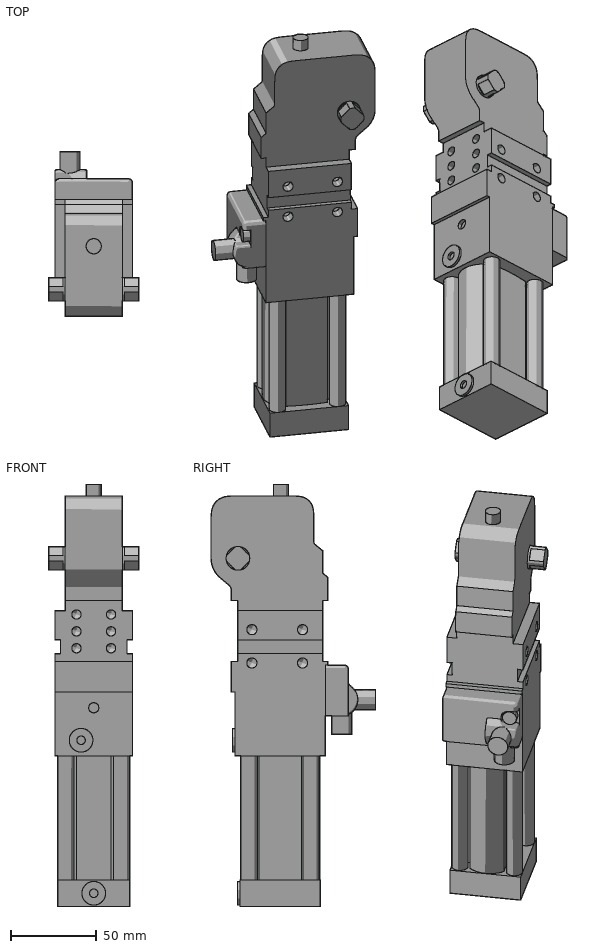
import cadquery as cq
import math

PLATE_WIDTH = 42.5
PLATE_DEPTH = 47.4
PLATE_HEIGHT = 15.5
ROD_DIA = 9.7
ROD_X = 16.4
ROD_Y = 18.0
TUBE_HALF_WIDTH = 15.0
TUBE_HALF_DEPTH = 23.3
TUBE_END_HALF_WIDTH = 10.2
TUBE_END_SHOULDER = 19.0
TUBE_NOTCH_X = 14.1
TUBE_NOTCH_Y = 12.5

BODY_WIDTH = 45.6
BODY_DEPTH = 53.0
BODY_BOTTOM = 88.5
FLANGE_FRONT = -28.8
LIP_BACK = 28.0
FLANGE_BOTTOM = 126.0
FLANGE_TOP = 144.0
NECK_DEPTH = 50.0
NECK_TOP = 173.8
SIDE_GROOVE_BOTTOM = 148.5
SIDE_GROOVE_TOP = 156.7
SIDE_GROOVE_DEPTH = 3.2

FRONT_HOLE_DIA = 5.5
FRONT_HOLE_X = 10.2
FRONT_HOLE_LOW_Z = 151.8
FRONT_HOLE_PITCH = 10.0
FRONT_HOLE_COUNT = 3
SIDE_HOLE_DIA = 6.0
SIDE_HOLE_YS = (13.1, -16.5)
SIDE_HOLE_ZS = (143.0, 162.7)
DRILL_DEPTH = 7.5
DRILL_POINT_ANGLE = 118
PORT_DIA = 6.0
PORT_DEPTH = 2.5
PORT_Z = 116.8
PLUG_DIA = 14.0
PLUG_HEIGHT = 1.5
SOCKET_DIA = 5.0
BODY_PLUG_X = -7.5
BODY_PLUG_Z = 97.7
PLATE_PLUG_Z = PLATE_HEIGHT / 2

HEAD_WIDTH = 33.7
HEAD_TOP = 241.3
HEAD_FRONT = -40.7
HEAD_BACK = 19.8
HEAD_FLANGE_BOTTOM = 179.8
HEAD_FLANGE_FRONT = FLANGE_FRONT
HEAD_FLANGE_BACK = LIP_BACK
FRONT_CORNER_SETBACK = 13.6
BACK_CORNER_SETBACK = 12.6
CORNER_BLEND_LENGTH = 4.7
CORNER_BLEND_ANGLE = 8
BACK_SLOPE_TOP = 213.3
BACK_SLOPE_BOTTOM = 209.0
BACK_SLOPE_FILLET = 2.2
BACK_BEVEL_TOP = 196.0
BACK_BEVEL_BOTTOM = 193.5
CHIN_TOP = 204.5
CHIN_RADIUS = 15.0
CHIN_ANGLE = 50
CHIN_FOOT_RADIUS = 4.2
INDICATOR_DIA = 9.0
INDICATOR_Y = 0.5
TOTAL_HEIGHT = 248.0

SHAFT_DIA = 14.0
SHAFT_LENGTH = 53.0
SHAFT_SQUARE = 12.0
SHAFT_SQUARE_LENGTH = 8.5
SHAFT_SQUARE_TURN = 45
SHAFT_Y = -24.8
SHAFT_Z = CHIN_TOP

SENSOR_BACK = 40.2
SENSOR_BOTTOM = 112.0
SENSOR_TOP = 141.9
SENSOR_FILLET = 2.5
SOCKET_BLOCK_WIDTH = 18.8
SOCKET_BLOCK_RADIUS = 9.5
SOCKET_BLOCK_FILLET = 1.2
CONNECTOR_DIA = 12.0
CONNECTOR_X = -14.0
CONNECTOR_END_Y = 56.0
CONNECTOR_Z = SENSOR_BOTTOM + SOCKET_BLOCK_RADIUS
OUTLET_Y = 36.2
SOCKET_BLOCK_BACK = OUTLET_Y + SOCKET_BLOCK_RADIUS
OUTLET_BOTTOM = 101.2
SCREW_DIA = 8.5
SCREW_X = -17.5
SCREW_SEAT_Y = 35.5
SCREW_END_Y = 39.7
POCKET_BOTTOM = 126.7
POCKET_TOP = 136.6
SCREW_Z = (POCKET_TOP + POCKET_BOTTOM) / 2


def block(width, depth, bottom, top):
    """Box centred on the Z axis between two heights."""
    return cq.Workplane("XY").workplane(offset=bottom).rect(width, depth).extrude(top - bottom)


def slab(front, back, bottom, top):
    """Box as wide as the body, between two Y positions and two heights."""
    return block(BODY_WIDTH, back - front, bottom, top).translate((0, (front + back) / 2, 0))


def cylinder(diameter, start, end):
    """Cylinder between two points."""
    axis = cq.Vector(*end) - cq.Vector(*start)
    return cq.Workplane(obj=cq.Solid.makeCylinder(diameter / 2, axis.Length, cq.Vector(*start), axis))


def drilled_hole(diameter, start, direction):
    """Blind hole with a conical drill point, as a solid to subtract."""
    radius = diameter / 2
    point_length = radius / math.tan(math.radians(DRILL_POINT_ANGLE / 2))
    origin = cq.Vector(*start)
    axis = cq.Vector(*direction)
    barrel = cq.Solid.makeCylinder(radius, DRILL_DEPTH, origin, axis)
    point = cq.Solid.makeCone(radius, 0, point_length, origin + axis * DRILL_DEPTH, axis)
    return cq.Workplane(obj=barrel.fuse(point))


def make_tube():
    """Oval piston tube with a notch beside each tie rod."""
    end_x, shoulder_y = TUBE_END_HALF_WIDTH, TUBE_END_SHOULDER
    notch_x, notch_y = TUBE_NOTCH_X, TUBE_NOTCH_Y
    outline = (
        cq.Workplane("XY").workplane(offset=PLATE_HEIGHT)
        .moveTo(-end_x, -shoulder_y)
        .threePointArc((0, -TUBE_HALF_DEPTH), (end_x, -shoulder_y))
        .lineTo(end_x, -notch_y)
        .lineTo(notch_x, -notch_y)
        .threePointArc((TUBE_HALF_WIDTH, 0), (notch_x, notch_y))
        .lineTo(end_x, notch_y)
        .lineTo(end_x, shoulder_y)
        .threePointArc((0, TUBE_HALF_DEPTH), (-end_x, shoulder_y))
        .lineTo(-end_x, notch_y)
        .lineTo(-notch_x, notch_y)
        .threePointArc((-TUBE_HALF_WIDTH, 0), (-notch_x, -notch_y))
        .lineTo(-end_x, -notch_y)
        .close()
    )
    return outline.extrude(BODY_BOTTOM - PLATE_HEIGHT)


def make_cylinder_section():
    """End plate, piston tube and four tie rods."""
    section = block(PLATE_WIDTH, PLATE_DEPTH, 0, PLATE_HEIGHT).union(make_tube())
    for x in (-ROD_X, ROD_X):
        for y in (-ROD_Y, ROD_Y):
            section = section.union(cylinder(ROD_DIA, (x, y, PLATE_HEIGHT), (x, y, BODY_BOTTOM)))
    return section


def make_body_block():
    """Body with a front flange, a rear lip over the sensor and a groove in each side."""
    body = block(BODY_WIDTH, BODY_DEPTH, BODY_BOTTOM, FLANGE_BOTTOM)
    body = body.union(slab(FLANGE_FRONT, 0, FLANGE_BOTTOM, FLANGE_TOP))
    body = body.union(slab(0, BODY_DEPTH / 2, FLANGE_BOTTOM, SENSOR_TOP))
    body = body.union(slab(0, LIP_BACK, SENSOR_TOP, FLANGE_TOP))
    body = body.union(block(BODY_WIDTH, NECK_DEPTH, FLANGE_TOP, SIDE_GROOVE_BOTTOM))
    groove_width = BODY_WIDTH - 2 * SIDE_GROOVE_DEPTH
    body = body.union(block(groove_width, NECK_DEPTH, SIDE_GROOVE_BOTTOM, SIDE_GROOVE_TOP))
    return body.union(block(BODY_WIDTH, NECK_DEPTH, SIDE_GROOVE_TOP, NECK_TOP))


def rounded_corner(outline, corner, entry, leave, setback):
    """Continue an outline round a square corner: slow blend, tighter arc, slow blend.

    entry and leave are the unit directions of travel into and out of the corner, and
    setback is the distance from the corner at which the rounding starts and ends.
    """
    angle = math.radians(CORNER_BLEND_ANGLE)
    blend_radius = CORNER_BLEND_LENGTH / math.sin(angle)

    def blend_point(share):
        """Distances along the flat and into the part, after a share of the blend's turn."""
        turn = share * angle
        return setback - blend_radius * math.sin(turn), blend_radius * (1 - math.cos(turn))

    def at(before, after):
        return (
            corner[0] - before * entry[0] + after * leave[0],
            corner[1] - before * entry[1] + after * leave[1],
        )

    def mirrored(share):
        along, inward = blend_point(share)
        return at(inward, along)

    arc_setback, sink = blend_point(1)
    arc_radius = (arc_setback - sink) / (math.cos(angle) - math.sin(angle))
    arc_centre = sink + arc_radius * math.cos(angle)
    arc_middle = arc_centre - arc_radius * math.sqrt(0.5)
    return (
        outline.lineTo(*at(setback, 0))
        .threePointArc(at(*blend_point(0.5)), at(*blend_point(1)))
        .threePointArc(at(arc_middle, arc_middle), mirrored(1))
        .threePointArc(mirrored(0.5), at(0, setback))
    )


def make_head():
    """Head plate: a YZ outline extruded across X, with the indicator pin on top."""
    half_neck = NECK_DEPTH / 2
    turn = math.radians(CHIN_ANGLE)
    half_turn = turn / 2
    foot_y = HEAD_FLANGE_FRONT - CHIN_FOOT_RADIUS * (1 - math.cos(turn))
    foot_mid_y = HEAD_FLANGE_FRONT - CHIN_FOOT_RADIUS * (1 - math.cos(half_turn))
    chin_y = HEAD_FRONT + CHIN_RADIUS * (1 - math.cos(turn))
    chin_z = CHIN_TOP - CHIN_RADIUS * math.sin(turn)
    chin_mid_y = HEAD_FRONT + CHIN_RADIUS * (1 - math.cos(half_turn))
    chin_mid_z = CHIN_TOP - CHIN_RADIUS * math.sin(half_turn)
    foot_z = chin_z - (foot_y - chin_y) / math.tan(turn)
    foot_end_z = foot_z - CHIN_FOOT_RADIUS * math.sin(turn)
    foot_mid_z = foot_end_z + CHIN_FOOT_RADIUS * math.sin(half_turn)

    outline = (
        cq.Workplane("YZ").workplane(offset=-HEAD_WIDTH / 2)
        .moveTo(half_neck, NECK_TOP)
        .lineTo(-half_neck, NECK_TOP)
        .lineTo(-half_neck, HEAD_FLANGE_BOTTOM)
        .lineTo(HEAD_FLANGE_FRONT, HEAD_FLANGE_BOTTOM)
        .lineTo(HEAD_FLANGE_FRONT, foot_end_z)
        .threePointArc((foot_mid_y, foot_mid_z), (foot_y, foot_z))
        .lineTo(chin_y, chin_z)
        .threePointArc((chin_mid_y, chin_mid_z), (HEAD_FRONT, CHIN_TOP))
    )
    outline = rounded_corner(outline, (HEAD_FRONT, HEAD_TOP), (0, 1), (1, 0), FRONT_CORNER_SETBACK)
    outline = rounded_corner(outline, (HEAD_BACK, HEAD_TOP), (1, 0), (0, -1), BACK_CORNER_SETBACK)
    outline = (
        outline.lineTo(HEAD_BACK, BACK_SLOPE_TOP)
        .lineTo(half_neck, BACK_SLOPE_BOTTOM)
        .lineTo(half_neck, BACK_BEVEL_TOP)
        .lineTo(HEAD_FLANGE_BACK, BACK_BEVEL_BOTTOM)
        .lineTo(HEAD_FLANGE_BACK, HEAD_FLANGE_BOTTOM)
        .lineTo(half_neck, HEAD_FLANGE_BOTTOM)
        .close()
    )
    pin = cylinder(INDICATOR_DIA, (0, INDICATOR_Y, HEAD_TOP), (0, INDICATOR_Y, TOTAL_HEIGHT))
    head = outline.extrude(HEAD_WIDTH)
    slope_top = cq.selectors.NearestToPointSelector((0, HEAD_BACK, BACK_SLOPE_TOP))
    return head.edges("|X").edges(slope_top).fillet(BACK_SLOPE_FILLET).union(pin)


def add_front_holes(body):
    """Two columns of blind holes in the front of the upper block."""
    for row in range(FRONT_HOLE_COUNT):
        z = FRONT_HOLE_LOW_Z + row * FRONT_HOLE_PITCH
        for x in (-FRONT_HOLE_X, FRONT_HOLE_X):
            body = body.cut(drilled_hole(FRONT_HOLE_DIA, (x, -NECK_DEPTH / 2, z), (0, 1, 0)))
    return body


def add_side_holes(body):
    """Four blind holes in each side, above and below the groove."""
    for side in (-1, 1):
        for y in SIDE_HOLE_YS:
            for z in SIDE_HOLE_ZS:
                start = (side * BODY_WIDTH / 2, y, z)
                body = body.cut(drilled_hole(SIDE_HOLE_DIA, start, (-side, 0, 0)))
    return body


def add_plug(body, x, face_y, z):
    """Raised round plug on a front face, with a socket down to that face."""
    top_y = face_y - PLUG_HEIGHT
    body = body.union(cylinder(PLUG_DIA, (x, face_y, z), (x, top_y, z)))
    return body.cut(cylinder(SOCKET_DIA, (x, top_y, z), (x, face_y, z)))


def make_housing():
    """Cylinder, body and head in one piece, with the holes, plugs and shaft bore."""
    housing = make_cylinder_section().union(make_body_block()).union(make_head())
    housing = add_side_holes(add_front_holes(housing))
    front = -BODY_DEPTH / 2
    housing = housing.cut(cylinder(PORT_DIA, (0, front, PORT_Z), (0, front + PORT_DEPTH, PORT_Z)))
    housing = add_plug(housing, BODY_PLUG_X, front, BODY_PLUG_Z)
    housing = add_plug(housing, 0, -PLATE_DEPTH / 2, PLATE_PLUG_Z)
    half_width = HEAD_WIDTH / 2
    bore = cylinder(SHAFT_DIA, (-half_width, SHAFT_Y, SHAFT_Z), (half_width, SHAFT_Y, SHAFT_Z))
    return housing.cut(bore)


def make_shaft():
    """Round shaft through the head, with a square set on its corner at each end."""
    half_length = SHAFT_LENGTH / 2
    round_end = half_length - SHAFT_SQUARE_LENGTH
    bar = cylinder(SHAFT_DIA, (-half_length, 0, 0), (half_length, 0, 0))
    square = cq.Workplane("XY").box(SHAFT_LENGTH, SHAFT_SQUARE, SHAFT_SQUARE)
    square = square.rotate((0, 0, 0), (1, 0, 0), SHAFT_SQUARE_TURN)
    middle = cylinder(SHAFT_DIA, (-round_end, 0, 0), (round_end, 0, 0))
    return bar.intersect(square).union(middle).translate((0, SHAFT_Y, SHAFT_Z))


def make_sensor_cover():
    """Cover over the back of the body, with its upper and rear outer edges rounded."""
    cover = slab(BODY_DEPTH / 2, SENSOR_BACK, SENSOR_BOTTOM, SENSOR_TOP)
    return cover.edges("(>Y and >Z) or (>Y and |Z) or (>Z and |Y)").fillet(SENSOR_FILLET)


def make_socket_block():
    """Round-backed block at the left end of the cover, bevelled down to its back."""
    radius = SOCKET_BLOCK_RADIUS
    eighth_turn = math.pi / 4
    diagonal = radius * math.cos(eighth_turn)
    bevel_start_y = OUTLET_Y + diagonal
    bevel_start_z = CONNECTOR_Z + diagonal
    bevel_end_z = bevel_start_z + bevel_start_y - SENSOR_BACK
    lower_diagonal = (OUTLET_Y + diagonal, CONNECTOR_Z - diagonal)
    upper_middle = (
        OUTLET_Y + radius * math.cos(eighth_turn / 2),
        CONNECTOR_Z + radius * math.sin(eighth_turn / 2),
    )
    outline = (
        cq.Workplane("YZ").workplane(offset=-BODY_WIDTH / 2)
        .moveTo(BODY_DEPTH / 2, SENSOR_BOTTOM)
        .lineTo(OUTLET_Y, SENSOR_BOTTOM)
        .threePointArc(lower_diagonal, (OUTLET_Y + radius, CONNECTOR_Z))
        .threePointArc(upper_middle, (bevel_start_y, bevel_start_z))
        .lineTo(SENSOR_BACK, bevel_end_z)
        .lineTo(BODY_DEPTH / 2, bevel_end_z)
        .close()
    )
    socket_block = outline.extrude(SOCKET_BLOCK_WIDTH)
    outer_edges = socket_block.faces("<X or >X").edges("not(<Y or >Z)")
    return outer_edges.fillet(SOCKET_BLOCK_FILLET)


def make_screw_pocket():
    """Slot open to the left and rear, with a half-round inner end around the screw."""
    height = POCKET_TOP - POCKET_BOTTOM
    length = SOCKET_BLOCK_BACK - SCREW_SEAT_Y
    left_width = SCREW_X + BODY_WIDTH / 2
    slot = cq.Workplane("XY").box(left_width, length, height, centered=(False, False, True))
    slot = slot.translate((-BODY_WIDTH / 2, SCREW_SEAT_Y, SCREW_Z))
    seat = (SCREW_X, SCREW_SEAT_Y, SCREW_Z)
    return slot.union(cylinder(height, seat, (SCREW_X, SOCKET_BLOCK_BACK, SCREW_Z)))


def make_sensor():
    """Sensor cover with its socket block, two connectors and a recessed screw."""
    sensor = make_sensor_cover().union(make_socket_block()).cut(make_screw_pocket())
    pocket_floor_edge = cq.selectors.NearestToPointSelector(
        (-BODY_WIDTH / 2, SENSOR_BACK, POCKET_BOTTOM)
    )
    sensor = sensor.edges(pocket_floor_edge).fillet(SOCKET_BLOCK_FILLET)
    sensor = sensor.union(
        cylinder(SCREW_DIA, (SCREW_X, SCREW_SEAT_Y, SCREW_Z), (SCREW_X, SCREW_END_Y, SCREW_Z))
    )
    centre = (CONNECTOR_X, OUTLET_Y, CONNECTOR_Z)
    sensor = sensor.union(cylinder(CONNECTOR_DIA, centre, (CONNECTOR_X, CONNECTOR_END_Y, CONNECTOR_Z)))
    return sensor.union(cylinder(CONNECTOR_DIA, centre, (CONNECTOR_X, OUTLET_Y, OUTLET_BOTTOM)))


housing = make_housing()
shaft = make_shaft()
sensor = make_sensor()
result = cq.Compound.makeCompound([housing.val(), shaft.val(), sensor.val()])